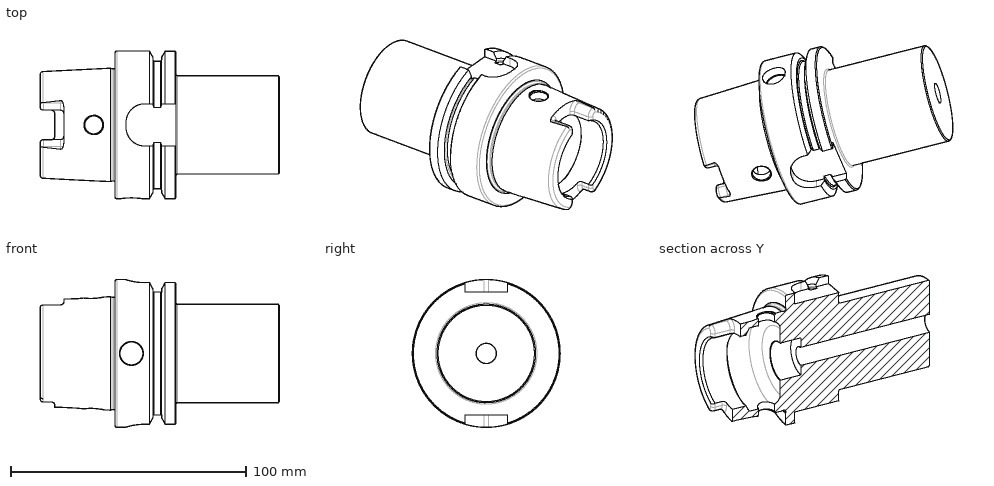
import cadquery as cq
import math


tip_x = -31.9
taper_end_x = -2.0
taper_end_radius = 24.2
taper_slope = 1 / 20
tip_fillet = 1.4

relief_start_x = -1.2
relief_radius = 23.95
relief_fillet = 0.8
face_recess_depth = 0.2
face_recess_radius = 25.35

flange_radius = 31.5
flange_length = 26.0
flange_front_fillet = 0.8
flange_rear_chamfer = 0.5
groove_center_x = 18.0
groove_width = 3.6
groove_floor_radius = 27.25
groove_floor_fillet = 0.5
vee_bottom_radius = 28.8
vee_angle = 30.0

shank_radius = 21.0
rear_x = 70.0
rear_chamfer = 0.5
shank_root_fillet = 0.6

mouth_radius = 17.0
mouth_chamfer = 0.75
mouth_chamfer_length = 1.3
clamp_shoulder_x = -19.0
clamp_shoulder_angle = 30.0
clamp_radius = 20.0
cavity_floor_x = -2.5
cavity_fillet = 4.1
tube_bore_radius = 8.85
tube_bore_depth = 10.0
tube_bore_chamfer = 0.2
through_radius = 4.25

notch_half_width = 6.27
notch_depth_top = 10.1
notch_depth_bottom = 6.2
notch_flat_z = 20.7
notch_edge_radius = 3.0
notch_floor_fillet = 1.4

cross_hole_x = -9.05
cross_hole_radius = 3.8
cross_hole_chamfer = 0.4

keyway_half_width = 9.0
keyway_floor_z = 26.2
keyway_corner_radius = 8.0
keyway_front_x = 4.7

chip_x = 7.0
chip_radius = 5.1
chip_depth = 4.6
chip_floor_chamfer = 0.25

clearance = 5.0


def revolve_about_x(profile):
    """Turn a closed (x, radius) profile about the X axis."""
    return profile.close().revolve(360, (0, 0, 0), (1, 0, 0))


def turned_body():
    tip_radius = taper_end_radius - taper_slope * (taper_end_x - tip_x)
    fillet_end_radius = relief_radius + relief_fillet
    fillet_start_x = face_recess_depth - relief_fillet
    profile = (
        cq.Workplane("XY")
        .moveTo(tip_x, 0)
        .lineTo(tip_x, tip_radius)
        .lineTo(taper_end_x, taper_end_radius)
        .lineTo(relief_start_x, relief_radius)
        .lineTo(fillet_start_x, relief_radius)
        .radiusArc((face_recess_depth, fillet_end_radius), -relief_fillet)
        .lineTo(face_recess_depth, face_recess_radius)
        .lineTo(0, face_recess_radius)
        .lineTo(0, flange_radius - flange_front_fillet)
        .radiusArc((flange_front_fillet, flange_radius), flange_front_fillet)
        .lineTo(flange_length - flange_rear_chamfer, flange_radius)
        .lineTo(flange_length, flange_radius - flange_rear_chamfer)
        .lineTo(flange_length, shank_radius + shank_root_fillet)
        .radiusArc((flange_length + shank_root_fillet, shank_radius), -shank_root_fillet)
        .lineTo(rear_x - rear_chamfer, shank_radius)
        .lineTo(rear_x, shank_radius - rear_chamfer)
        .lineTo(rear_x, 0)
    )
    return revolve_about_x(profile)


def gripper_groove():
    half_width = groove_width / 2
    top_radius = flange_radius + clearance
    half_top = half_width + (top_radius - vee_bottom_radius) * math.tan(math.radians(vee_angle))
    wall_end_radius = groove_floor_radius + groove_floor_fillet
    half_floor = half_width - groove_floor_fillet
    profile = (
        cq.Workplane("XY")
        .moveTo(groove_center_x - half_top, top_radius)
        .lineTo(groove_center_x - half_width, vee_bottom_radius)
        .lineTo(groove_center_x - half_width, wall_end_radius)
        .radiusArc((groove_center_x - half_floor, groove_floor_radius), -groove_floor_fillet)
        .lineTo(groove_center_x + half_floor, groove_floor_radius)
        .radiusArc((groove_center_x + half_width, wall_end_radius), -groove_floor_fillet)
        .lineTo(groove_center_x + half_width, vee_bottom_radius)
        .lineTo(groove_center_x + half_top, top_radius)
    )
    return revolve_about_x(profile)


def inner_cavity():
    tube_bore_end_x = cavity_floor_x + tube_bore_depth
    shoulder_rise = clamp_radius - mouth_radius
    clamp_start_x = clamp_shoulder_x + shoulder_rise * math.tan(math.radians(clamp_shoulder_angle))
    profile = (
        cq.Workplane("XY")
        .moveTo(tip_x, 0)
        .lineTo(tip_x, mouth_radius + mouth_chamfer)
        .lineTo(tip_x + mouth_chamfer_length, mouth_radius)
        .lineTo(clamp_shoulder_x, mouth_radius)
        .lineTo(clamp_start_x, clamp_radius)
        .lineTo(cavity_floor_x - cavity_fillet, clamp_radius)
        .radiusArc((cavity_floor_x, clamp_radius - cavity_fillet), cavity_fillet)
        .lineTo(cavity_floor_x, tube_bore_radius + tube_bore_chamfer)
        .lineTo(cavity_floor_x + tube_bore_chamfer, tube_bore_radius)
        .lineTo(tube_bore_end_x, tube_bore_radius)
        .lineTo(tube_bore_end_x, through_radius)
        .lineTo(rear_x, through_radius)
        .lineTo(rear_x, 0)
    )
    return revolve_about_x(profile)


def drive_notch(depth):
    """Notch cutter on the +Z side: a slot that flares into a flat over rounded edges."""
    flare_half_width = notch_half_width + notch_edge_radius
    flare_start_z = notch_flat_z - notch_edge_radius
    outer = flange_radius
    slot = (
        cq.Workplane("YZ", origin=(tip_x - clearance, 0, 0))
        .moveTo(-notch_half_width, 0)
        .lineTo(-notch_half_width, flare_start_z)
        .radiusArc((-flare_half_width, notch_flat_z), -notch_edge_radius)
        .lineTo(-outer, notch_flat_z)
        .lineTo(-outer, outer)
        .lineTo(outer, outer)
        .lineTo(outer, notch_flat_z)
        .lineTo(flare_half_width, notch_flat_z)
        .radiusArc((notch_half_width, flare_start_z), -notch_edge_radius)
        .lineTo(notch_half_width, 0)
        .close()
        .extrude(depth + clearance)
    )
    end_edges = slot.faces(">X").edges("not (>Y or <Y or >Z or <Z)")
    slot = end_edges.fillet(notch_floor_fillet)

    plate = (
        cq.Workplane("YZ", origin=(tip_x - clearance, 0, 0))
        .rect(2 * outer, 2 * outer)
        .extrude(clearance)
    )
    cutter = plate.union(slot)
    mouth = cq.selectors.BoxSelector(
        (tip_x - clearance / 4, -outer, clearance / 4),
        (tip_x + clearance / 4, outer, outer - clearance / 4),
    )
    return cutter.edges(mouth).fillet(tip_fillet)


def keyway():
    """Keyway cutter on the +Z side, open to the rear of the flange."""
    length = flange_length + clearance - keyway_front_x
    return (
        cq.Workplane("XY", origin=(keyway_front_x, 0, keyway_floor_z))
        .rect(length, 2 * keyway_half_width)
        .extrude(flange_radius)
        .translate((length / 2, 0, 0))
        .edges("|Z and <X")
        .fillet(keyway_corner_radius)
    )


def cross_hole():
    """Hole along Z through both walls of the taper, with chamfered outer rims."""
    outer_radius = taper_end_radius - taper_slope * (taper_end_x - cross_hole_x)
    rim_z = math.sqrt(outer_radius**2 - cross_hole_radius**2)
    hole = cq.Workplane("XY").circle(cross_hole_radius).extrude(flange_radius, both=True)
    rim = (
        cq.Workplane("XZ")
        .moveTo(0, rim_z - cross_hole_chamfer)
        .lineTo(cross_hole_radius, rim_z - cross_hole_chamfer)
        .lineTo(cross_hole_radius + cross_hole_chamfer, rim_z)
        .lineTo(cross_hole_radius + cross_hole_chamfer, rim_z + clearance)
        .lineTo(0, rim_z + clearance)
        .close()
        .revolve(360, (0, 0, 0), (0, 1, 0))
    )
    return hole.union(rim).union(on_bottom(rim)).translate((cross_hole_x, 0, 0))


def chip_pocket():
    """Blind round pocket entering the flange from -Y, bevelled around its floor."""
    return (
        cq.Workplane("XZ", origin=(chip_x, chip_depth - flange_radius, 0))
        .circle(chip_radius)
        .extrude(chip_depth + clearance)
        .faces(">Y")
        .chamfer(chip_floor_chamfer)
    )


def on_bottom(cutter):
    return cutter.rotate((0, 0, 0), (1, 0, 0), 180)


body = turned_body().faces("<X").edges().fillet(tip_fillet)
body = body.cut(gripper_groove()).cut(inner_cavity())
body = body.cut(drive_notch(notch_depth_top))
body = body.cut(on_bottom(drive_notch(notch_depth_bottom)))
body = body.cut(keyway()).cut(on_bottom(keyway()))
body = body.cut(cross_hole())
result = body.cut(chip_pocket())